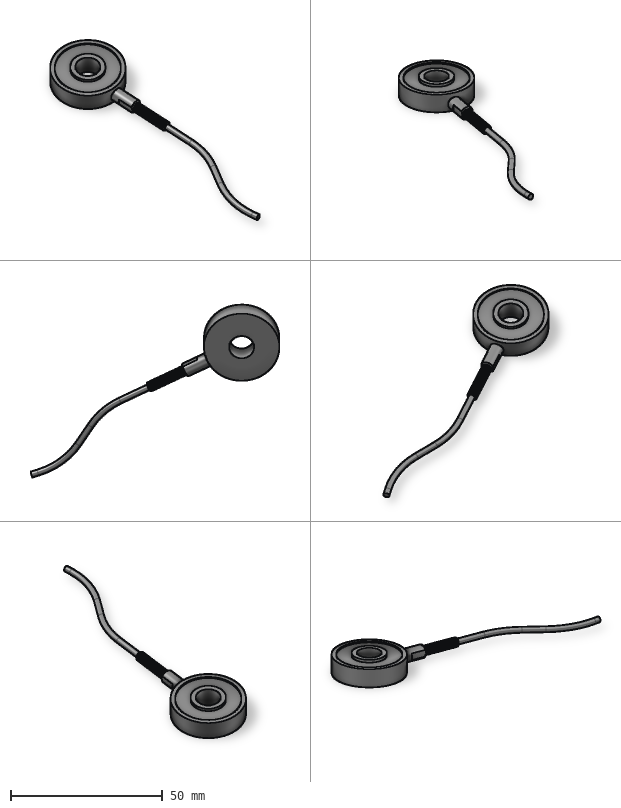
import cadquery as cq
import math

BODY_DIAMETER = 24.89
BODY_HEIGHT = 6.6
RECESS_DIAMETER = 21.82
RECESS_DEPTH = 0.51
LOAD_RING_DIAMETER = 11.66
LOAD_RING_TOP = 7.11
BORE_DIAMETER = 8.18

AXIS_HEIGHT = 2.67

STEM_DIAMETER = 4.7
STEM_END_X = 21.34
STEM_CHAMFER = 0.51
STEM_EMBEDMENT = 1.0
FLAT_START_X = 15.42
FLAT_SPACING = 4.06

RING_WIRE_DIAMETER = 0.508
RING_CENTRE_DIAMETER = 2.79
RING_COUNT = 26
RELIEF_END_X = STEM_END_X + RING_COUNT * RING_WIRE_DIAMETER

CABLE_DIAMETER = 2.08
CABLE_BEND_START_X = 45.1
CABLE_BEND_RADIUS = 24.9
CABLE_FIRST_BEND = 31
CABLE_MIDDLE_LENGTH = 8
CABLE_SECOND_BEND = 40
CABLE_TIP_X = 83.885


def rod(diameter, start_x, end_x):
    """Round bar along the cable axis."""
    start_plane = cq.Workplane("YZ", origin=(start_x, 0, AXIS_HEIGHT))
    return start_plane.circle(diameter / 2).extrude(end_x - start_x)


def make_body():
    body = cq.Workplane("XY").circle(BODY_DIAMETER / 2).extrude(BODY_HEIGHT)
    recess = (
        cq.Workplane("XY", origin=(0, 0, BODY_HEIGHT - RECESS_DEPTH))
        .circle(RECESS_DIAMETER / 2)
        .extrude(RECESS_DEPTH)
    )
    load_ring = cq.Workplane("XY").circle(LOAD_RING_DIAMETER / 2).extrude(LOAD_RING_TOP)
    return body.cut(recess).union(load_ring)


def make_bore():
    return cq.Workplane("XY").circle(BORE_DIAMETER / 2).extrude(LOAD_RING_TOP)


def make_stem():
    start_x = BODY_DIAMETER / 2 - STEM_EMBEDMENT
    stem = rod(STEM_DIAMETER, start_x, STEM_END_X).faces(">X").chamfer(STEM_CHAMFER)
    flat_length = STEM_END_X - FLAT_START_X
    for side in (1, -1):
        flat_cut = cq.Workplane("XY").box(flat_length, STEM_DIAMETER, STEM_DIAMETER)
        flat_offset = side * (FLAT_SPACING + STEM_DIAMETER) / 2
        stem = stem.cut(flat_cut.translate((FLAT_START_X + flat_length / 2, flat_offset, AXIS_HEIGHT)))
    return stem


def make_strain_relief():
    """Solid of revolution whose outline is one half-round arc per ring."""
    root_radius = RING_CENTRE_DIAMETER / 2
    crest_radius = root_radius + RING_WIRE_DIAMETER / 2
    outline = cq.Workplane("XY").moveTo(STEM_END_X, 0).lineTo(STEM_END_X, root_radius)
    for ring in range(RING_COUNT):
        ring_start = STEM_END_X + ring * RING_WIRE_DIAMETER
        crest = (ring_start + RING_WIRE_DIAMETER / 2, crest_radius)
        ring_end = (ring_start + RING_WIRE_DIAMETER, root_radius)
        outline = outline.threePointArc(crest, ring_end)
    outline = outline.lineTo(RELIEF_END_X, 0).close()
    return outline.revolve(360, (0, 0, 0), (1, 0, 0)).translate((0, 0, AXIS_HEIGHT))


def make_cable():
    first = math.radians(CABLE_FIRST_BEND)
    last = math.radians(CABLE_SECOND_BEND) - first
    radius = CABLE_BEND_RADIUS

    def first_bend_point(angle):
        return (
            CABLE_BEND_START_X + radius * math.sin(angle),
            -radius * (1 - math.cos(angle)),
        )

    first_bend_end = first_bend_point(first)
    second_bend_start = (
        first_bend_end[0] + CABLE_MIDDLE_LENGTH * math.cos(first),
        first_bend_end[1] - CABLE_MIDDLE_LENGTH * math.sin(first),
    )
    second_bend_centre = (
        second_bend_start[0] + radius * math.sin(first),
        second_bend_start[1] + radius * math.cos(first),
    )

    def second_bend_point(angle):
        return (
            second_bend_centre[0] + radius * math.sin(angle),
            second_bend_centre[1] - radius * math.cos(angle),
        )

    second_bend_end = second_bend_point(last)
    end_x = CABLE_TIP_X - CABLE_DIAMETER / 2 * math.sin(last)
    end_y = second_bend_end[1] + (end_x - second_bend_end[0]) * math.tan(last)

    path = (
        cq.Workplane("XY", origin=(0, 0, AXIS_HEIGHT))
        .moveTo(STEM_END_X, 0)
        .lineTo(CABLE_BEND_START_X, 0)
        .threePointArc(first_bend_point(first / 2), first_bend_end)
        .lineTo(*second_bend_start)
        .threePointArc(second_bend_point((last - first) / 2), second_bend_end)
        .lineTo(end_x, end_y)
    )
    section = cq.Workplane("YZ", origin=(STEM_END_X, 0, AXIS_HEIGHT)).circle(CABLE_DIAMETER / 2)
    return section.sweep(path)


result = (
    make_body()
    .union(make_stem())
    .union(make_strain_relief())
    .union(make_cable())
    .cut(make_bore())
)